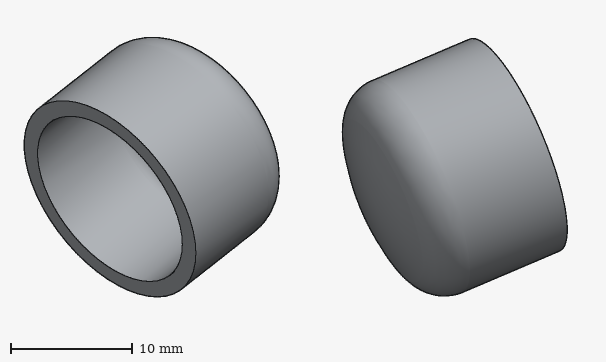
import cadquery as cq
import math

outer_diameter = 19.0
inner_diameter = 16.0
total_length = 13.47
sleeve_length = 9.0
knuckle_radius = 3.4

outer_radius = outer_diameter / 2
wall = (outer_diameter - inner_diameter) / 2
dome_height = total_length - sleeve_length
knuckle_center_x = outer_radius - knuckle_radius

crown_radius = (knuckle_center_x**2 + dome_height**2 - knuckle_radius**2) / (
    2 * (dome_height - knuckle_radius)
)
crown_angle = math.asin(knuckle_center_x / (crown_radius - knuckle_radius))


def domed_solid(offset):
    """Solid of revolution bounded by the outer surface moved inward by offset."""
    side_x = outer_radius - offset
    apex_y = total_length - offset
    knuckle = knuckle_radius - offset
    crown = crown_radius - offset
    crown_center_y = total_length - crown_radius

    def knuckle_point(angle):
        return (
            knuckle_center_x + knuckle * math.sin(angle),
            sleeve_length + knuckle * math.cos(angle),
        )

    crown_middle = (
        crown * math.sin(crown_angle / 2),
        crown_center_y + crown * math.cos(crown_angle / 2),
    )
    return (
        cq.Workplane("XY")
        .lineTo(side_x, 0)
        .lineTo(side_x, sleeve_length)
        .threePointArc(
            knuckle_point((crown_angle + math.pi / 2) / 2),
            knuckle_point(crown_angle),
        )
        .threePointArc(crown_middle, (0, apex_y))
        .close()
        .revolve(360, (0, 0, 0), (0, 1, 0))
    )


cap_body = domed_solid(0)
cavity = domed_solid(wall)
result = cap_body.cut(cavity)